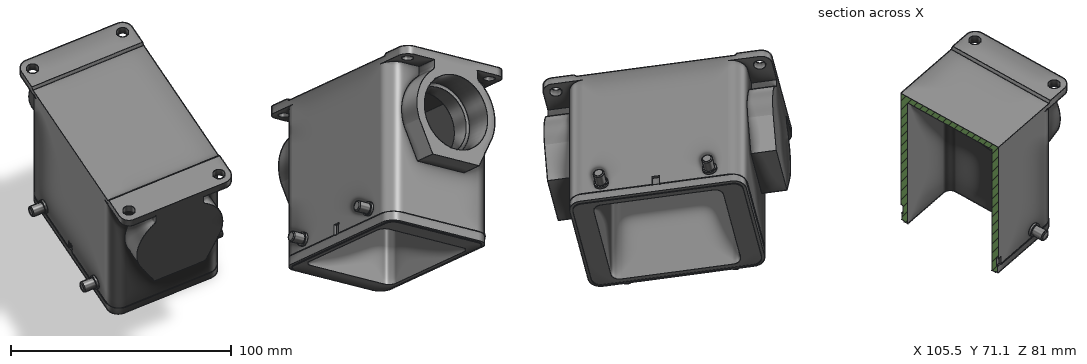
import cadquery as cq
import math

body_length = 82.2
body_width = 56.7
body_corner_radius = 7.5
total_height = 81.0
rim_height = 4.8
rim_inset = 0.4
rim_corner_radius = 5.8
seal_lip_height = 0.5
seal_lip_inset = 1.4

flange_length = 105.5
flange_thickness = 4.0
flange_corner_radius = 5.0
flange_bottom = total_height - flange_thickness
recess_depth = 1.1
recess_top_length = 75.2
recess_floor_length = recess_top_length - 2 * recess_depth
mount_hole_diameter = 5.5
mount_hole_spacing_x = 94.0
mount_hole_spacing_y = 46.0

boss_radius = 22.0
boss_center_z = 54.2
boss_bottom_z = 31.2
boss_bottom_width = 26.2
boss_slant_drop = 7.7
neck_width = 24.3
neck_fillet_radius = 2.35

entry_diameter = 35.7
entry_depth = 13.8
inner_bore_diameter = 32.0

end_wall = 11.2
side_wall = 4.0
roof_thickness = 4.0
cavity_corner_radius = 4.0

pin_spacing = 50.0
pin_z = 9.5
pin_diameter = 5.0
pin_span = 71.1
pin_chamfer = 0.5
collar_diameter = 6.5
collar_height = 1.2

notch_width = 3.5
notch_height = 4.9
notch_depth = 1.2


def rounded_box(length, width, radius, bottom, top):
    """Upright box with rounded vertical edges, centred on the Z axis."""
    box = cq.Workplane("XY").workplane(offset=bottom).rect(length, width).extrude(top - bottom)
    return box.edges("|Z").fillet(radius)


def make_hood():
    lip_length = body_length - 2 * (rim_inset + seal_lip_inset)
    lip_width = body_width - 2 * (rim_inset + seal_lip_inset)
    lip_radius = rim_corner_radius - seal_lip_inset
    lip = rounded_box(lip_length, lip_width, lip_radius, 0, rim_height)
    rim = rounded_box(
        body_length - 2 * rim_inset,
        body_width - 2 * rim_inset,
        rim_corner_radius,
        seal_lip_height,
        rim_height,
    )
    body = rounded_box(body_length, body_width, body_corner_radius, rim_height, flange_bottom)
    flange = rounded_box(flange_length, body_width, flange_corner_radius, flange_bottom, total_height)
    return lip.union(rim).union(body).union(flange)


def make_bosses():
    """Boss profile swept along the whole length, so that one bar forms both ends."""
    neck_y = neck_width / 2
    fillet_y = neck_y + neck_fillet_radius
    center_distance = boss_radius + neck_fillet_radius
    fillet_rise = math.sqrt(center_distance**2 - fillet_y**2)
    fillet_z = boss_center_z + fillet_rise
    touch_y = fillet_y * boss_radius / center_distance
    touch_z = boss_center_z + fillet_rise * boss_radius / center_distance
    mid_angle = math.pi + math.atan2(fillet_rise, fillet_y) / 2
    mid_y = fillet_y + neck_fillet_radius * math.cos(mid_angle)
    mid_z = fillet_z + neck_fillet_radius * math.sin(mid_angle)
    slant_y = math.sqrt(boss_radius**2 - boss_slant_drop**2)
    slant_z = boss_center_z - boss_slant_drop
    bottom_y = boss_bottom_width / 2

    profile = (
        cq.Workplane("YZ")
        .moveTo(neck_y, flange_bottom)
        .lineTo(neck_y, fillet_z)
        .threePointArc((mid_y, mid_z), (touch_y, touch_z))
        .threePointArc((boss_radius, boss_center_z), (slant_y, slant_z))
        .lineTo(bottom_y, boss_bottom_z)
        .lineTo(-bottom_y, boss_bottom_z)
        .lineTo(-slant_y, slant_z)
        .threePointArc((-boss_radius, boss_center_z), (-touch_y, touch_z))
        .threePointArc((-mid_y, mid_z), (-neck_y, fillet_z))
        .lineTo(-neck_y, flange_bottom)
        .close()
    )
    return profile.extrude(flange_length / 2, both=True)


def make_pins():
    """Two collared pins on each long side, on axes that cross the body."""
    pins = cq.Workplane("XZ")
    for x in (-pin_spacing / 2, pin_spacing / 2):
        axis = cq.Workplane("XZ").center(x, pin_z)
        shaft = axis.circle(pin_diameter / 2).extrude(pin_span / 2, both=True)
        shaft = shaft.faces("<Y or >Y").chamfer(pin_chamfer)
        collar = axis.circle(collar_diameter / 2).extrude(body_width / 2 + collar_height, both=True)
        pins = pins.add(shaft.union(collar))
    return pins.combine()


def make_cavity():
    return rounded_box(
        body_length - 2 * end_wall,
        body_width - 2 * side_wall,
        cavity_corner_radius,
        0,
        total_height - recess_depth - roof_thickness,
    )


def make_entry():
    """Stepped bore from the -X face into the cavity."""
    face = cq.Workplane("YZ", origin=(-flange_length / 2, 0, boss_center_z))
    entry = face.circle(entry_diameter / 2).extrude(entry_depth)
    inner_bore = face.circle(inner_bore_diameter / 2).extrude(flange_length / 2)
    return entry.union(inner_bore)


def make_recess():
    recess_floor = total_height - recess_depth
    profile = cq.Workplane("XZ").polyline(
        [
            (-recess_top_length / 2, total_height),
            (-recess_floor_length / 2, recess_floor),
            (recess_floor_length / 2, recess_floor),
            (recess_top_length / 2, total_height),
        ]
    )
    return profile.close().extrude(body_width, both=True)


def make_mount_holes():
    holes = cq.Workplane("XY").workplane(offset=flange_bottom)
    holes = holes.rect(mount_hole_spacing_x, mount_hole_spacing_y, forConstruction=True).vertices()
    return holes.circle(mount_hole_diameter / 2).extrude(flange_thickness)


def make_notches():
    notch_z = rim_height + notch_height / 2
    notches = cq.Workplane("XY").pushPoints([(0, -body_width / 2), (0, body_width / 2)])
    notches = notches.box(notch_width, 2 * notch_depth, notch_height)
    return notches.translate((0, 0, notch_z))


solid_part = make_hood().union(make_bosses()).union(make_pins())
result = solid_part.cut(make_cavity()).cut(make_entry()).cut(make_recess())
result = result.cut(make_mount_holes()).cut(make_notches())